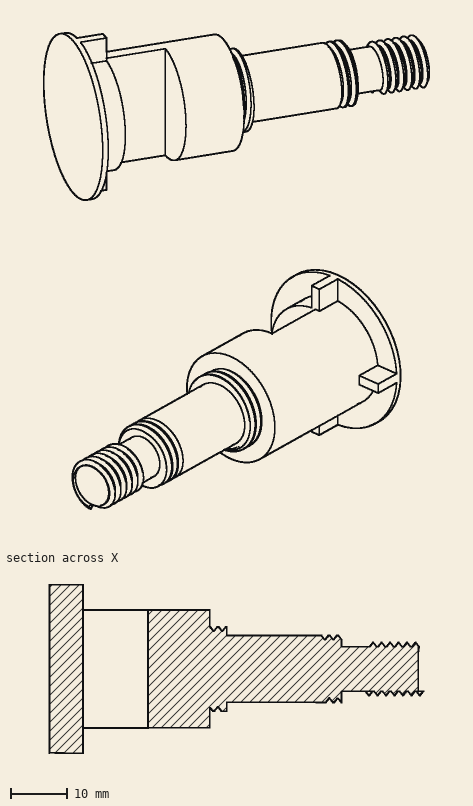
import cadquery as cq

flange_diameter = 30.0
flange_thickness = 1.05
body_diameter = 21.0
body_top = 28.5
notch_bottom = 6.0
notch_top = 17.5
rib_width = 1.85
rib_top = notch_bottom
collar_diameter = 15.0
collar_top = 31.5
shank_diameter = 12.0
shank_top = 51.95
tip_diameter = 8.0
tip_top = 65.6

tip_turns = 6
tip_thread_rise = 9.05
pitch = tip_thread_rise / tip_turns
thread_depth = 0.8
thread_width = 1.3
root_overlap = 0.05
overall_length = 66.5
tip_thread_start = overall_length - thread_width / 2 - tip_thread_rise
shank_turns = 3
shank_thread_start = 48.2
collar_turns = 3
collar_thread_start = 26.9


def cylinder(diameter, bottom, top, seam_angle=270):
    """Cylinder on the Y axis between two heights.

    The seam angle turns the seam from +X about Y, to +Z for 270 and -Z for 90,
    because a helical groove only cuts cleanly with the seam suited to its hand.
    """
    return (
        cq.Workplane("XZ", origin=(0, bottom, 0))
        .circle(diameter / 2)
        .extrude(bottom - top)
        .rotate((0, 0, 0), (0, 1, 0), seam_angle)
    )


def helical_v(base_diameter, start, turns, direction, left_handed=False):
    """V swept around Y from the -Z side; direction +1 points outward, -1 inward."""
    base_radius = base_diameter / 2
    base = base_radius - direction * root_overlap
    tip = base_radius + direction * thread_depth
    helix = cq.Wire.makeHelix(pitch, turns * pitch, base_radius, lefthand=left_handed)
    profile = cq.Workplane("XZ").polyline(
        [(base, -thread_width / 2), (tip, 0), (base, thread_width / 2)]
    ).close()
    return (
        profile.sweep(cq.Workplane(obj=helix), isFrenet=True)
        .rotate((0, 0, 0), (0, 0, 1), 90)
        .rotate((0, 0, 0), (1, 0, 0), -90)
        .translate((0, start, 0))
    )


def make_body():
    """Body cylinder with the +X half removed between the notch heights."""
    body = cylinder(body_diameter, 0, body_top)
    notch_length = notch_top - notch_bottom
    notch = cq.Workplane("XY").box(
        body_diameter, notch_length, 2 * body_diameter, centered=(False, False, True)
    ).translate((0, notch_bottom, 0))
    return body.cut(notch)


def make_ribs():
    """Ribs on the flange at -X, -Z and +Z, reaching the flange rim."""
    flange_radius = flange_diameter / 2
    rib_inner = body_diameter / 2 - rib_width / 2
    rib = cq.Workplane("XY").box(
        flange_radius - rib_inner, rib_top, rib_width, centered=(False, False, True)
    ).translate((rib_inner, 0, 0))
    ribs = cq.Workplane("XY")
    for angle in (90, 180, 270):
        ribs = ribs.add(rib.rotate((0, 0, 0), (0, 1, 0), angle))
    return ribs.combine().intersect(cylinder(flange_diameter, 0, rib_top))


collar = cylinder(collar_diameter, body_top, collar_top, seam_angle=90).cut(
    helical_v(collar_diameter, collar_thread_start, collar_turns, -1, left_handed=True)
)
shank = cylinder(shank_diameter, body_top, shank_top).cut(
    helical_v(shank_diameter, shank_thread_start, shank_turns, -1)
)
tip = cylinder(tip_diameter, body_top, tip_top).union(
    helical_v(tip_diameter, tip_thread_start, tip_turns, 1)
)

result = cylinder(flange_diameter, 0, flange_thickness).union(make_body()).union(make_ribs())
for section in (collar, shank, tip):
    result = result.union(section)